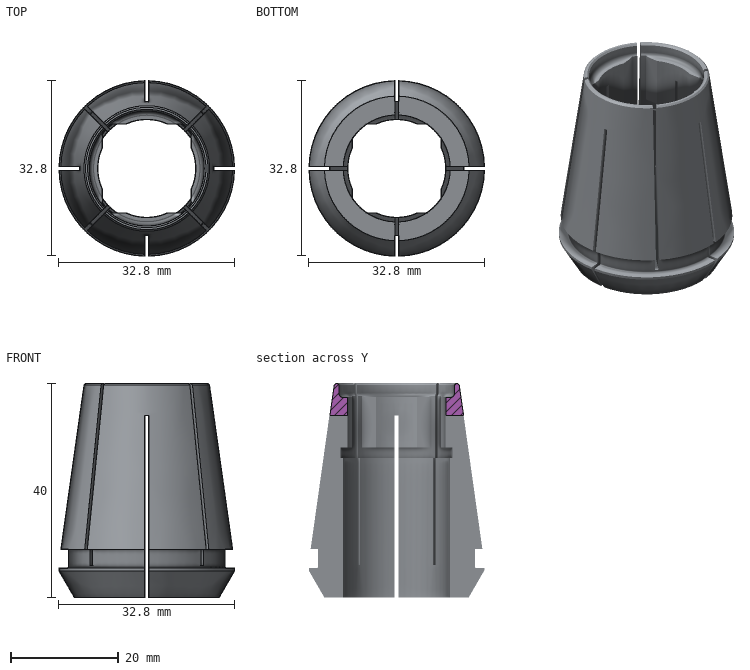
import cadquery as cq
import math


total_height = 40.0
nose_height = 5.0
flange_top = 5.5
taper_start = 9.0

flange_radius = 16.4
nose_angle = 30.0
neck_radius = 14.65
neck_fillet = 0.2
taper_radius = 16.05
taper_angle = 8.0
rim_chamfer = 0.3

front_bore_radius = 10.0
relief_bottom = 26.0
relief_radius = 10.5

seat_bottom = 28.0
seat_bore_radius = 9.15
square_width = 16.6

recess_floor = 37.4
recess_radius = 10.75
recess_fillet = 0.8
recess_chamfer = 0.3

slit_width = 0.7
slit_overrun = 1.0
slits_per_end = 4
front_slit_end = 34.0
rear_slit_end = 6.0


def cone_run(height, angle):
    """Change of radius of a cone over a height, for a given half angle in degrees."""
    return height * math.tan(math.radians(angle))


def make_body():
    nose_radius = flange_radius - cone_run(nose_height, nose_angle)
    rim_radius = taper_radius - cone_run(total_height - rim_chamfer - taper_start, taper_angle)
    fillet_offset = neck_fillet * (1 - math.sqrt(0.5))
    profile = (
        cq.Workplane("XZ")
        .lineTo(nose_radius, 0)
        .lineTo(flange_radius, nose_height)
        .lineTo(flange_radius, flange_top)
        .lineTo(neck_radius + neck_fillet, flange_top)
        .threePointArc(
            (neck_radius + fillet_offset, flange_top + fillet_offset),
            (neck_radius, flange_top + neck_fillet),
        )
        .lineTo(neck_radius, taper_start)
        .lineTo(taper_radius, taper_start)
        .lineTo(rim_radius, total_height - rim_chamfer)
        .lineTo(rim_radius - rim_chamfer, total_height)
        .lineTo(0, total_height)
        .close()
    )
    return profile.revolve(360, (0, 0, 0), (0, 1, 0))


def cylinder(radius, bottom, top):
    return cq.Workplane("XY").workplane(offset=bottom).circle(radius).extrude(top - bottom)


def make_seat():
    """Seat void, carried up through the fillet of the rear recess."""
    square = (
        cq.Workplane("XY")
        .workplane(offset=seat_bottom)
        .rect(square_width, square_width)
        .extrude(total_height - seat_bottom)
    )
    rounded_square = square.intersect(cylinder(relief_radius, seat_bottom, total_height))
    return rounded_square.union(cylinder(seat_bore_radius, seat_bottom, total_height))


def make_recess():
    recess = cylinder(recess_radius, recess_floor, total_height)
    recess = recess.faces("<Z").edges().fillet(recess_fillet)
    mouth_radius = recess_radius + recess_chamfer
    mouth = (
        cq.Workplane("XZ")
        .moveTo(0, total_height - recess_chamfer)
        .lineTo(recess_radius, total_height - recess_chamfer)
        .lineTo(mouth_radius, total_height)
        .lineTo(0, total_height)
        .close()
        .revolve(360, (0, 0, 0), (0, 1, 0))
    )
    return recess.union(mouth)


def cut_bore(body):
    body = body.cut(cylinder(front_bore_radius, 0, relief_bottom))
    body = body.cut(cylinder(relief_radius, relief_bottom, seat_bottom))
    body = body.cut(make_seat())
    return body.cut(make_recess())


def cut_slits(body, bottom, top, first_angle):
    """Cut evenly spaced radial slits between two heights."""
    length = flange_radius + slit_overrun
    blade = (
        cq.Workplane("XY")
        .workplane(offset=bottom)
        .rect(length, slit_width)
        .extrude(top - bottom)
        .translate((length / 2, 0, 0))
    )
    for index in range(slits_per_end):
        angle = first_angle + index * 360 / slits_per_end
        body = body.cut(blade.rotate((0, 0, 0), (0, 0, 1), angle))
    return body


def make_collet():
    body = cut_bore(make_body())
    body = cut_slits(body, 0, front_slit_end, 0)
    half_pitch = 180 / slits_per_end
    return cut_slits(body, rear_slit_end, total_height, half_pitch)


result = make_collet()